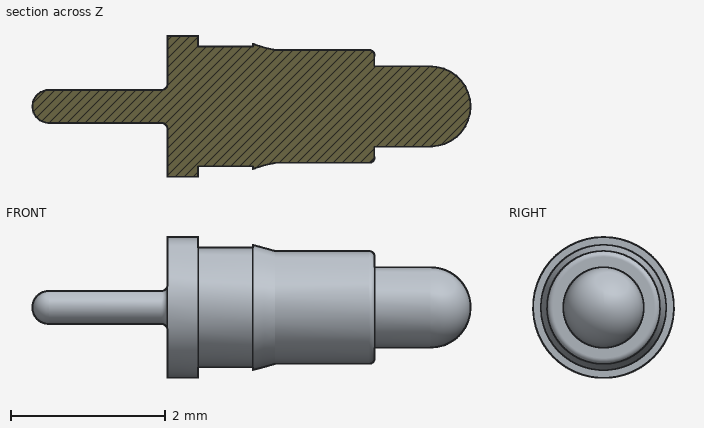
import cadquery as cq
import math

total_length = 5.69

tail_radius = 0.215
tail_fillet = 0.075

flange_start = 1.75
flange_thickness = 0.4
flange_radius = 0.915
flange_end = flange_start + flange_thickness

collar_radius = 0.78
collar_end = 2.86

barb_radius = 0.815
barb_length = 0.29
barb_end = collar_end + barb_length

barrel_radius = 0.735
barrel_end = 4.445
barrel_edge_radius = 0.075

plunger_radius = 0.525
plunger_tip_start = total_length - plunger_radius

diagonal = math.sqrt(0.5)

fillet_start = flange_start - tail_fillet
fillet_radius_position = tail_radius + tail_fillet
barrel_edge_start = barrel_end - barrel_edge_radius
barrel_face_radius = barrel_radius - barrel_edge_radius

profile = (
    cq.Workplane("XZ")
    .moveTo(0, 0)
    .threePointArc(
        (tail_radius * (1 - diagonal), tail_radius * diagonal),
        (tail_radius, tail_radius),
    )
    .lineTo(fillet_start, tail_radius)
    .threePointArc(
        (fillet_start + tail_fillet * diagonal, fillet_radius_position - tail_fillet * diagonal),
        (flange_start, fillet_radius_position),
    )
    .lineTo(flange_start, flange_radius)
    .lineTo(flange_end, flange_radius)
    .lineTo(flange_end, collar_radius)
    .lineTo(collar_end, collar_radius)
    .lineTo(collar_end, barb_radius)
    .lineTo(barb_end, barrel_radius)
    .lineTo(barrel_edge_start, barrel_radius)
    .threePointArc(
        (
            barrel_edge_start + barrel_edge_radius * diagonal,
            barrel_face_radius + barrel_edge_radius * diagonal,
        ),
        (barrel_end, barrel_face_radius),
    )
    .lineTo(barrel_end, plunger_radius)
    .lineTo(plunger_tip_start, plunger_radius)
    .threePointArc(
        (plunger_tip_start + plunger_radius * diagonal, plunger_radius * diagonal),
        (total_length, 0),
    )
    .close()
)

result = profile.revolve(360, (0, 0, 0), (1, 0, 0))